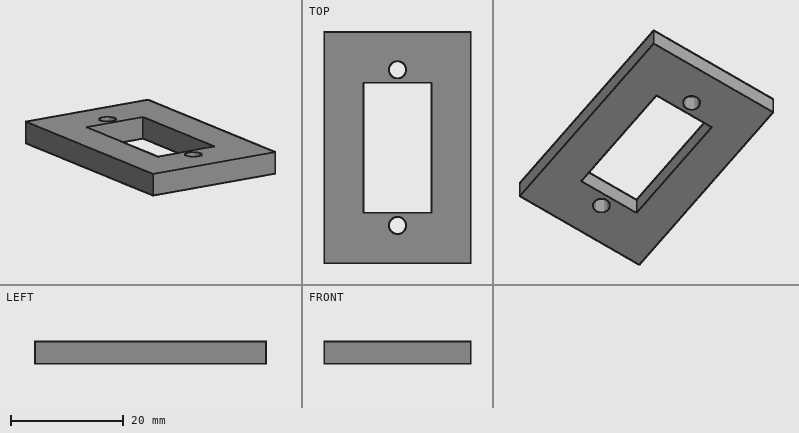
import cadquery as cq

plate_width = 26.0
plate_length = 41.0
plate_thickness = 4.0

opening_width = 12.0
opening_length = 23.0

hole_diameter = 3.0
hole_spacing = 27.6


def make_plate():
    return cq.Workplane("XY").rect(plate_width, plate_length).extrude(plate_thickness)


def cut_opening(body):
    return body.faces(">Z").workplane().rect(opening_width, opening_length).cutThruAll()


def drill_screw_holes(body):
    hole_centres = [(0, -hole_spacing / 2), (0, hole_spacing / 2)]
    top_face = cq.Workplane("XY", origin=(0, 0, plate_thickness))
    cutters = top_face.pushPoints(hole_centres).circle(hole_diameter / 2).extrude(-plate_thickness)
    return body.cut(cutters)


result = drill_screw_holes(cut_opening(make_plate()))